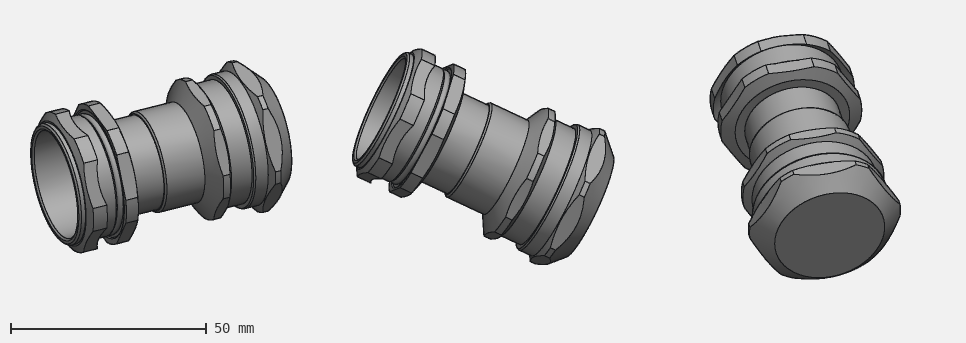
import cadquery as cq
import math

LENGTH = 59.85
TAN_30 = math.tan(math.radians(30))
TAN_20 = math.tan(math.radians(20))

THREAD_R = 32.0 / 2
THREAD_CHAMFER = 0.51
THREAD_END = 10.7

SEAL_SECTION_R = 1.0
SEAL_CENTRE_R = THREAD_R - SEAL_SECTION_R
SEAL_Y = 11.6

NUT_FLATS = 35.0
NUT_CORNER_R = 37.0 / 2
NUT_FACE_R = 16.45
LOCKNUT_FRONT = 1.6
LOCKNUT_BACK = 6.65
FLANGE_FRONT = 11.95
FLANGE_BACK = 16.6
FLANGE_FACE_R = 15.0
RECESS_R = 17.0
RECESS_DEPTH = 0.3

NECK_R = 25.0 / 2
SLEEVE_R = 26.6 / 2
SLEEVE_START = 25.0
EDGE_LENGTH = 0.5
SLEEVE_EDGE_DEPTH = 0.5
COLLAR_EDGE_DEPTH = 0.25

MIDDLE_CONE_START = 36.1
MIDDLE_END = 42.2

BODY_R = 32.8 / 2
COLLAR_R = 35.5 / 2
COLLAR_START = 47.85
COLLAR_END = 51.8
CAP_FLATS = 36.0
CAP_CORNER_R = 39.55 / 2
CAP_END_R = 14.4

BORE_R = 28.5 / 2
MOUTH_CHAMFER = 0.5
BORE_DEPTH = 11.35
BORE_FILLET = 0.35
SEAT_R = BORE_R - BORE_FILLET
SEAT_END = 13.45
CONE_END = 15.7
FLOOR_R = 8.8


def revolve(outline):
    """Turn a closed (radius, Y) outline about the Y axis."""
    return outline.close().revolve(360, (0, 0, 0), (0, 1, 0))


def polygon(points):
    return cq.Workplane("XY").polyline(points)


def hexagon(across_flats, outline_points):
    """Turned ring trimmed to a hexagon with flats facing +Z and -Z."""
    prism = (
        cq.Workplane("XZ")
        .polygon(6, across_flats / math.cos(math.pi / 6))
        .extrude(-LENGTH)
    )
    return revolve(polygon(outline_points)).intersect(prism)


def threaded_end():
    """Thread chamfered at both ends, with a plain core reaching into the flange."""
    root_r = THREAD_R - THREAD_CHAMFER
    return revolve(polygon([
        (0, 0),
        (root_r, 0),
        (THREAD_R, THREAD_CHAMFER),
        (THREAD_R, THREAD_END - THREAD_CHAMFER),
        (root_r, THREAD_END),
        (root_r, FLANGE_FRONT + RECESS_DEPTH),
        (0, FLANGE_FRONT + RECESS_DEPTH),
    ]))


def sealing_ring():
    """Round-section ring as wide as the thread, bedded in the flange recess."""
    outline = (
        cq.Workplane("XY")
        .moveTo(SEAL_CENTRE_R, SEAL_Y - SEAL_SECTION_R)
        .threePointArc(
            (SEAL_CENTRE_R + SEAL_SECTION_R, SEAL_Y),
            (SEAL_CENTRE_R, SEAL_Y + SEAL_SECTION_R),
        )
    )
    return revolve(outline)


def locknut():
    """Hexagon nut with a chamfered front and a 45 degree dished back."""
    return hexagon(NUT_FLATS, [
        (0, LOCKNUT_FRONT),
        (NUT_FACE_R, LOCKNUT_FRONT),
        (NUT_CORNER_R, LOCKNUT_FRONT + (NUT_CORNER_R - NUT_FACE_R) * TAN_30),
        (NUT_CORNER_R, LOCKNUT_BACK),
        (THREAD_R, LOCKNUT_BACK - (NUT_CORNER_R - THREAD_R)),
        (0, LOCKNUT_BACK - (NUT_CORNER_R - THREAD_R)),
    ])


def flange():
    """Hexagon flange with a chamfered recess for the sealing ring in its front face."""
    return hexagon(NUT_FLATS, [
        (0, FLANGE_FRONT + RECESS_DEPTH),
        (RECESS_R - RECESS_DEPTH, FLANGE_FRONT + RECESS_DEPTH),
        (RECESS_R, FLANGE_FRONT),
        (NUT_CORNER_R, FLANGE_FRONT),
        (NUT_CORNER_R, FLANGE_BACK - (NUT_CORNER_R - FLANGE_FACE_R) * TAN_20),
        (FLANGE_FACE_R, FLANGE_BACK),
        (0, FLANGE_BACK),
    ])


def stepped_body():
    """Round core from the flange to the cap: neck, sleeve, body and collar."""
    return revolve(polygon([
        (0, FLANGE_BACK),
        (NECK_R, FLANGE_BACK),
        (NECK_R, SLEEVE_START),
        (SLEEVE_R - SLEEVE_EDGE_DEPTH, SLEEVE_START),
        (SLEEVE_R, SLEEVE_START + EDGE_LENGTH),
        (SLEEVE_R, MIDDLE_END),
        (BODY_R, MIDDLE_END),
        (BODY_R, COLLAR_START),
        (COLLAR_R - COLLAR_EDGE_DEPTH, COLLAR_START),
        (COLLAR_R, COLLAR_START + EDGE_LENGTH),
        (COLLAR_R, COLLAR_END),
        (0, COLLAR_END),
    ]))


def middle_hexagon():
    return hexagon(NUT_FLATS, [
        (0, MIDDLE_CONE_START),
        (SLEEVE_R, MIDDLE_CONE_START),
        (NUT_CORNER_R, MIDDLE_CONE_START + (NUT_CORNER_R - SLEEVE_R) * TAN_30),
        (NUT_CORNER_R, MIDDLE_END - (NUT_CORNER_R - BODY_R) * TAN_30),
        (BODY_R, MIDDLE_END),
        (0, MIDDLE_END),
    ])


def cap():
    """Hexagon cap with a 45 degree cone at the rear end."""
    return hexagon(CAP_FLATS, [
        (0, COLLAR_END),
        (COLLAR_R, COLLAR_END),
        (CAP_CORNER_R, COLLAR_END + (CAP_CORNER_R - COLLAR_R) * TAN_30),
        (CAP_CORNER_R, LENGTH - (CAP_CORNER_R - CAP_END_R)),
        (CAP_END_R, LENGTH),
        (0, LENGTH),
    ])


def mouth_bore():
    """Blind bore that steps to a seat and narrows in a cone to a flat floor."""
    seat_start = BORE_DEPTH + BORE_FILLET
    bend = BORE_FILLET * math.sqrt(0.5)
    outline = (
        cq.Workplane("XY")
        .moveTo(0, 0)
        .lineTo(BORE_R + MOUTH_CHAMFER, 0)
        .lineTo(BORE_R, MOUTH_CHAMFER)
        .lineTo(BORE_R, BORE_DEPTH)
        .threePointArc(
            (SEAT_R + bend, BORE_DEPTH + bend),
            (SEAT_R, seat_start),
        )
        .lineTo(SEAT_R, SEAT_END)
        .lineTo(FLOOR_R, CONE_END)
        .lineTo(0, CONE_END)
    )
    return revolve(outline)


result = threaded_end()
for section in (sealing_ring(), locknut(), flange(), stepped_body(), middle_hexagon(), cap()):
    result = result.union(section)
result = result.cut(mouth_bore())